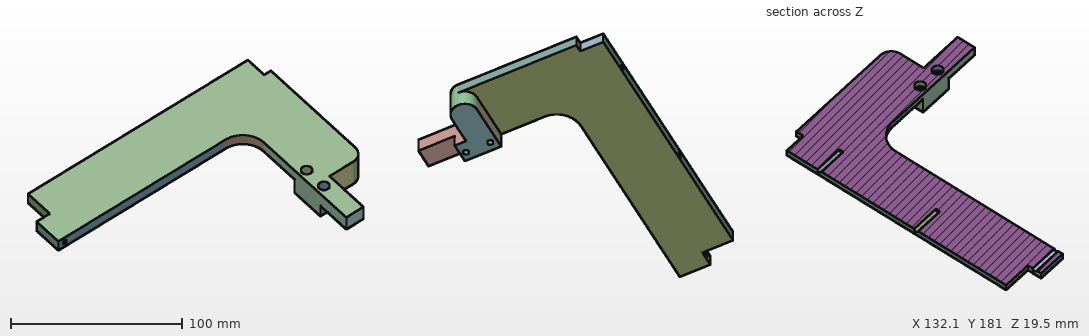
import cadquery as cq

length = 181.0
width = 132.1

plate_thickness = 8.0
leg_width = 40.2
plate_width = 100.8
inner_corner_radius = 16.0
outer_corner_radius = 8.0
rear_notch_width = 15.0
rear_notch_depth = 5.0
front_notch_width = leg_width / 2
front_notch_depth = 10.0

arm_front = length - 39.0
arm_back = length - 25.9
arm_thickness = 10.5

block_height = 19.5
rib_left = 84.3
foot_width = 23.9

screw_hole_diameter = 3.5
counterbore_diameter = 6.7
counterbore_depth = plate_thickness
screw_y = length - 33.3
screw_spacing = 16.0
first_screw_x = 88.7

pin_hole_diameter = 2.7
pin_hole_depth = leg_width - front_notch_width
pin_spacing = 73.1
front_pin_y = front_notch_depth / 2


def box_down(x_min, x_max, y_min, y_max, height):
    """Box hanging below the top plane, given its plan limits."""
    return (
        cq.Workplane("XY")
        .moveTo((x_min + x_max) / 2, (y_min + y_max) / 2)
        .rect(x_max - x_min, y_max - y_min)
        .extrude(-height)
    )


def make_plate():
    """L-shaped plate with a rounded outer and inner corner and two notches."""
    leg = box_down(0, leg_width, 0, length, plate_thickness)
    head = box_down(0, plate_width, arm_front, length, plate_thickness)
    head = head.edges("|Z and >X and >Y").fillet(outer_corner_radius)
    arm = box_down(rib_left, width, arm_front, arm_back, plate_thickness)
    plate = leg.union(head).union(arm)
    inner_corner = cq.selectors.NearestToPointSelector((leg_width, arm_front, -plate_thickness / 2))
    plate = plate.edges("|Z").edges(inner_corner).fillet(inner_corner_radius)
    rear_notch = box_down(0, rear_notch_width, length - rear_notch_depth, length, plate_thickness)
    front_notch = box_down(0, front_notch_width, 0, front_notch_depth, plate_thickness)
    return plate.cut(rear_notch).cut(front_notch)


def make_block():
    """Rib with a rounded back end, its foot, and the thicker arm."""
    rib = box_down(rib_left, plate_width, arm_front, length, block_height)
    rib = rib.edges("|Z and >Y").fillet(outer_corner_radius)
    foot = box_down(rib_left, rib_left + foot_width, arm_front, arm_back, block_height)
    arm = box_down(rib_left, width, arm_front, arm_back, arm_thickness)
    return rib.union(foot).union(arm)


def drill_screw_holes(body):
    """Two counterbored holes through the block from the top face."""
    centres = [(first_screw_x + i * screw_spacing, screw_y) for i in range(2)]
    holes = cq.Workplane("XY").pushPoints(centres)
    body = body.cut(holes.circle(screw_hole_diameter / 2).extrude(-block_height))
    return body.cut(holes.circle(counterbore_diameter / 2).extrude(-counterbore_depth))


def drill_pin_holes(body):
    """Three holes along X at mid-thickness, the front one starting at the notch wall."""
    for i, start_x in enumerate((front_notch_width, 0, 0)):
        hole = (
            cq.Workplane("YZ", origin=(start_x, front_pin_y + i * pin_spacing, -plate_thickness / 2))
            .circle(pin_hole_diameter / 2)
            .extrude(pin_hole_depth)
        )
        body = body.cut(hole)
    return body


result = make_plate().union(make_block())
result = drill_screw_holes(result)
result = drill_pin_holes(result)